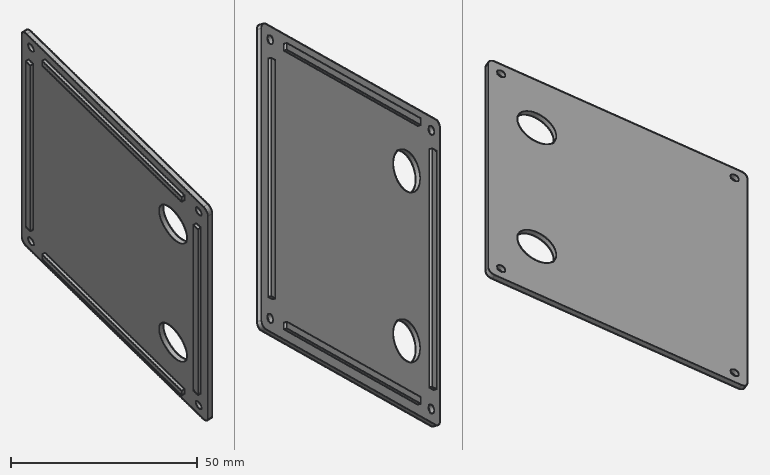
import cadquery as cq

width = 80.0
height = 90.0
total_depth = 2.5
rib_depth = 1.0
plate_thickness = total_depth - rib_depth
corner_radius = 2.0

screw_diameter = 2.5
edge_inset = 4.0
screw_x = width / 2 - edge_inset
screw_z = height / 2 - edge_inset

opening_diameter = 12.0
opening_offset = 25.0

rib_width = 2.0
horizontal_rib_length = 60.0
vertical_rib_length = 70.2


def make_plate():
    """Rounded plate with its ribbed face on Y = 0 and its back at +Y."""
    blank = cq.Workplane("XZ").rect(width, height).extrude(-plate_thickness)
    return blank.edges("|Y").fillet(corner_radius)


def make_ribs(centers, size_x, size_z):
    """Rectangular ribs standing on the plate face towards -Y."""
    return cq.Workplane("XZ").pushPoints(centers).rect(size_x, size_z).extrude(rib_depth)


def make_holes(centers, diameter):
    """Cylinders that cut through the plate."""
    return cq.Workplane("XZ").pushPoints(centers).circle(diameter / 2).extrude(-plate_thickness)


screw_centers = [(x, z) for x in (-screw_x, screw_x) for z in (-screw_z, screw_z)]
opening_centers = [(opening_offset, z) for z in (-opening_offset, opening_offset)]
horizontal_rib_centers = [(0, -screw_z), (0, screw_z)]
vertical_rib_centers = [(-screw_x, 0), (screw_x, 0)]

result = (
    make_plate()
    .union(make_ribs(horizontal_rib_centers, horizontal_rib_length, rib_width))
    .union(make_ribs(vertical_rib_centers, rib_width, vertical_rib_length))
    .cut(make_holes(screw_centers, screw_diameter))
    .cut(make_holes(opening_centers, opening_diameter))
)